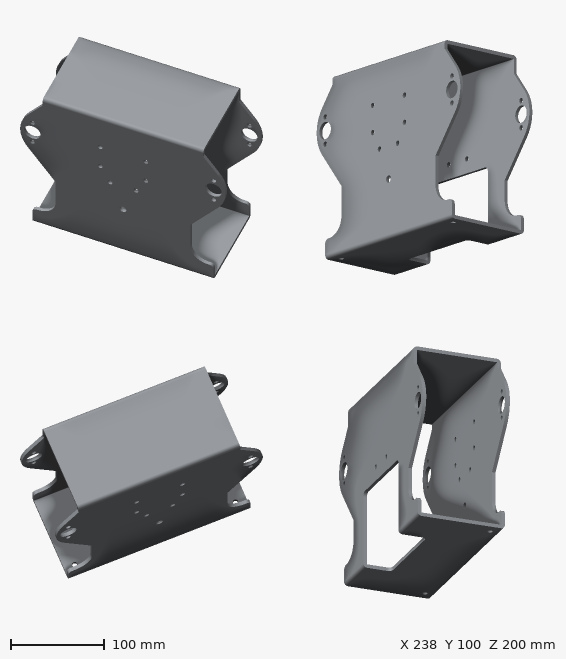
import cadquery as cq
import math

length = 238.0
depth = 100.0
height = 200.0
sheet = 4.0
bend_inner_radius = 0.5
bend_outer_radius = bend_inner_radius + sheet

top_width = 186.0
base_width = 210.0
waist_width = 156.1
foot_height = 22.0
foot_corner_radius = 5.0
waist_radius = 20.0
ear_radius = 42.0
ear_flank_normal = math.radians(37.9)
front_ear_z = 142.0
back_ear_z = front_ear_z - 10.0

screw_diameter = 5.7
screw_pitch = 30.0
ear_bore_diameter = 19.0
ear_hole_x = base_width / 2
upper_holes_spacing_x = 52.8
upper_holes_z = 137.8
lower_pair_z = 102.0
centre_hole_diameter = 7.9
centre_hole_z = 66.0
base_hole_x = 92.5
base_hole_from_front = 12.1

window_width = 100.0
window_top_z = 86.2
window_reach = 32.1
window_corner_radius = 5.0


def bent_tube():
    """Rectangular sheet-metal tube along X with rounded bends."""
    def bar(inset, bend_radius):
        block = cq.Workplane("XY").box(length, depth - 2 * inset, height - 2 * inset)
        return block.edges("|X").fillet(bend_radius)

    tube = bar(0, bend_outer_radius).cut(bar(sheet, bend_inner_radius))
    return tube.translate((0, 0, height / 2))


def plate_outline(ear_z):
    """Prism of the plate outline along Y, from the XZ plane to the front face."""
    ear_centre_x = length / 2 - ear_radius
    normal_x = math.cos(ear_flank_normal)
    normal_z = math.sin(ear_flank_normal)
    tangent_x = ear_centre_x + ear_radius * normal_x
    tangent_rise = ear_radius * normal_z

    def flank_rise(x):
        """Distance above or below the ear centre where the straight ear edge reaches x."""
        return (ear_radius - (x - ear_centre_x) * normal_x) / normal_z

    top_x = top_width / 2
    base_x = base_width / 2
    waist_x = waist_width / 2
    half = (
        cq.Workplane("XZ")
        .lineTo(base_x, 0)
        .lineTo(base_x, foot_height - foot_corner_radius)
        .radiusArc((base_x - foot_corner_radius, foot_height), -foot_corner_radius)
        .lineTo(waist_x + waist_radius, foot_height)
        .radiusArc((waist_x, foot_height + waist_radius), waist_radius)
        .lineTo(waist_x, ear_z - flank_rise(waist_x))
        .lineTo(tangent_x, ear_z - tangent_rise)
        .threePointArc((length / 2, ear_z), (tangent_x, ear_z + tangent_rise))
        .lineTo(top_x, ear_z + flank_rise(top_x))
        .lineTo(top_x, height)
        .lineTo(0, height)
        .close()
        .extrude(depth / 2)
    )
    return half.union(half.mirror("YZ"))


def holes_through_plate(points, diameter):
    """Drills along Y, from the XZ plane out through the front plate."""
    return cq.Workplane("XZ").pushPoints(points).circle(diameter / 2).extrude(depth / 2)


def mirrored_pair(x, z):
    return [(-x, z), (x, z)]


def plate_with_common_holes(ear_z):
    """Plate outline with the ear holes and the lower pair, which both plates have."""
    screws = mirrored_pair(screw_pitch / 2, lower_pair_z)
    for offset in (-screw_pitch, screw_pitch):
        screws += mirrored_pair(ear_hole_x, ear_z + offset / 2)
    bores = mirrored_pair(ear_hole_x, ear_z)
    plate = plate_outline(ear_z).cut(holes_through_plate(screws, screw_diameter))
    return plate.cut(holes_through_plate(bores, ear_bore_diameter))


def front_half():
    screws = []
    for offset in (-screw_pitch, screw_pitch):
        screws += mirrored_pair(upper_holes_spacing_x / 2, upper_holes_z + offset / 2)
    half = plate_with_common_holes(front_ear_z)
    half = half.cut(holes_through_plate(screws, screw_diameter))
    return half.cut(holes_through_plate([(0, centre_hole_z)], centre_hole_diameter))


def back_half():
    return plate_with_common_holes(back_ear_z).mirror("XZ")


def window():
    """Cutter for the opening, rounded where it ends in the back plate and in the base."""
    size = (window_width, window_reach, window_top_z)
    cutter = cq.Workplane("XY").box(*size, centered=(True, False, False))
    cutter = cutter.translate((0, depth / 2 - window_reach, 0))
    in_base = cutter.edges("|Z and <Y").fillet(window_corner_radius)
    in_plate = cutter.edges("|Y and >Z").fillet(window_corner_radius)
    return in_base.intersect(in_plate)


def base_holes():
    y = base_hole_from_front - depth / 2
    points = mirrored_pair(base_hole_x, y)
    return cq.Workplane("XY").pushPoints(points).circle(screw_diameter / 2).extrude(sheet)


plates = front_half().union(back_half())
result = bent_tube().intersect(plates).cut(window()).cut(base_holes())